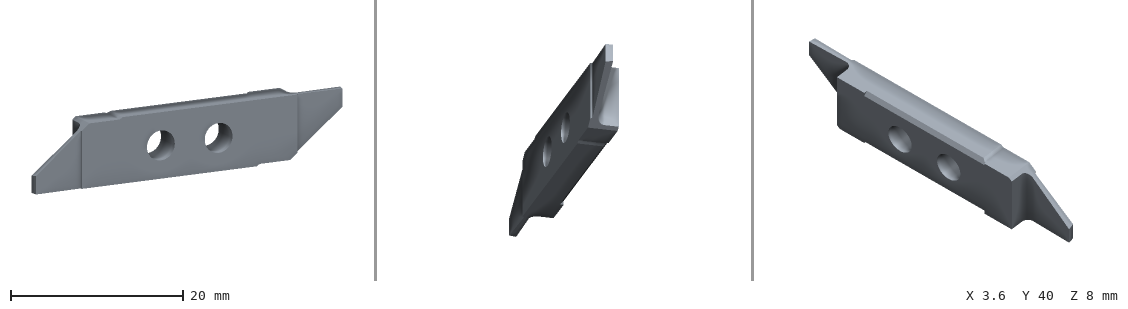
import cadquery as cq

length = 40.0
width = 3.6
height = 8.0
half_length = length / 2
half_height = height / 2

tip_height = 2.1
slope_end_y = 13.0
land_recess = 0.25
ramp_low_y = 9.1
ramp_high_y = 8.7

body_half_length = 13.45
fillet_radius = 0.95
fin_front_root = 2.7
fin_front_tip = 2.6
fin_back_tip = 3.5
tip_skew = 0.15

relief_x = 3.35
relief_end_y = 14.2
relief_radius = width - relief_x

chamfer_size = 0.5
chamfer_half_length = 9.25
hole_diameter = 3.6
hole_spacing = 7.5


def half_turn(points):
    """Add the same points rotated 180 degrees about the centre."""
    return points + [(-a, -b) for a, b in points]


def make_side_prism():
    """Outline in YZ, extruded through the full width."""
    upper_half = [
        (half_length, half_height - tip_height),
        (half_length, half_height),
        (-ramp_high_y, half_height),
        (-ramp_low_y, half_height - land_recess),
        (-slope_end_y, half_height - land_recess),
    ]
    return cq.Workplane("YZ").polyline(half_turn(upper_half)).close().extrude(width)


def make_plan_half():
    """Plan outline of the half with positive Y, including its fin."""
    fillet_end_y = body_half_length + fillet_radius
    fillet_start_x = fin_front_root - fillet_radius
    return (
        cq.Workplane("XY")
        .workplane(offset=-half_height)
        .moveTo(0, 0)
        .lineTo(0, body_half_length)
        .lineTo(fillet_start_x, body_half_length)
        .radiusArc((fin_front_root, fillet_end_y), -fillet_radius)
        .lineTo(fin_front_tip, half_length)
        .lineTo(fin_back_tip, half_length - tip_skew)
        .lineTo(relief_x, relief_end_y)
        .radiusArc((width, relief_end_y - relief_radius), -relief_radius)
        .lineTo(width, 0)
        .close()
        .extrude(height)
    )


def make_edge_cutter():
    """Triangular prism that chamfers the upper front edge."""
    return (
        cq.Workplane("XZ")
        .workplane(offset=-chamfer_half_length)
        .moveTo(0, half_height)
        .lineTo(chamfer_size, half_height)
        .lineTo(0, half_height - chamfer_size)
        .close()
        .extrude(2 * chamfer_half_length)
    )


plan_half = make_plan_half()
plan_prism = plan_half.union(plan_half.mirror("XZ"))
body = make_side_prism().intersect(plan_prism)

edge_cutter = make_edge_cutter()
body = body.cut(edge_cutter).cut(edge_cutter.mirror("XY"))

holes = (
    cq.Workplane("YZ")
    .pushPoints([(-hole_spacing / 2, 0), (hole_spacing / 2, 0)])
    .circle(hole_diameter / 2)
    .extrude(width)
)
result = body.cut(holes)